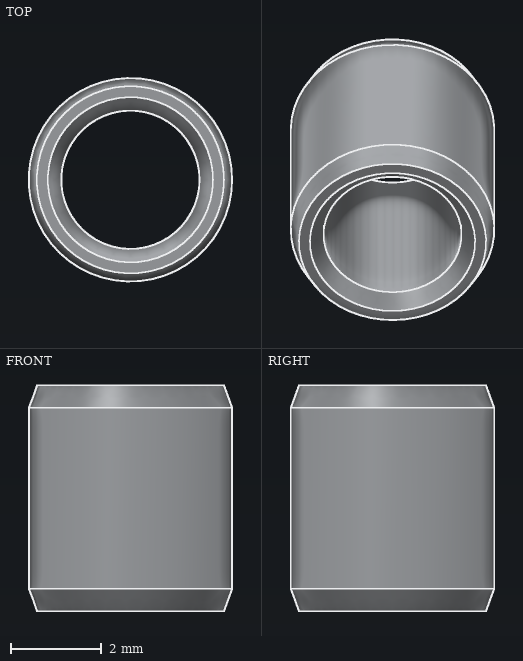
import cadquery as cq
import math

length = 5.0
outer_diameter = 4.5
bore_diameter = 3.05
end_taper_height = 0.5
end_taper_angle = 20.0
countersink_depth = 0.3

outer_radius = outer_diameter / 2
bore_radius = bore_diameter / 2
end_radius = outer_radius - end_taper_height * math.tan(math.radians(end_taper_angle))
mouth_radius = bore_radius + countersink_depth

half_section = [
    (mouth_radius, 0),
    (end_radius, 0),
    (outer_radius, end_taper_height),
    (outer_radius, length - end_taper_height),
    (end_radius, length),
    (mouth_radius, length),
    (bore_radius, length - countersink_depth),
    (bore_radius, countersink_depth),
]

result = (
    cq.Workplane("XZ")
    .polyline(half_section)
    .close()
    .revolve(360, (0, 0, 0), (0, 1, 0))
)